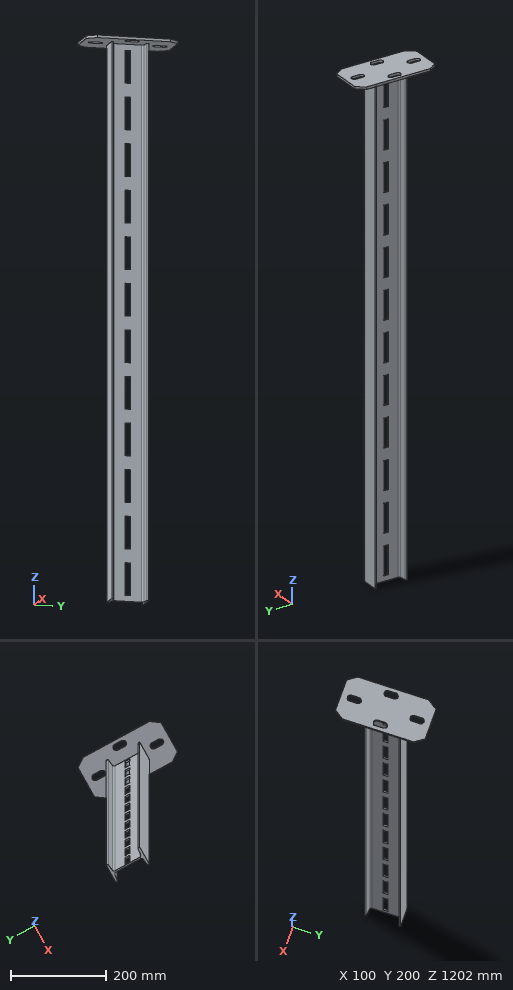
import cadquery as cq

total_height = 1202.0

plate_width = 100.0
plate_length = 200.0
plate_thickness = 6.0
corner_cut_x = 15.0
corner_cut_y = 20.0

plate_slot_width = 13.0
plate_slot_length = 30.0
side_slot_offset = 35.0
end_slot_offset = 70.0

beam_depth = 80.0
flange_width = 42.0
web_thickness = 3.8
flange_thickness = 5.9
flange_slope = 0.14
root_radius = 3.8
tip_radius = 2.3

web_slot_count = 12
web_slot_width = 11.1
web_slot_length = 70.0
first_slot_height = 48.0
slot_row_span = 1100.0

post_height = total_height - plate_thickness
web_slot_pitch = slot_row_span / (web_slot_count - 1)


def make_head_plate():
    """Plate with cut corners, one slot near the middle of each side."""
    half_x = plate_width / 2
    half_y = plate_length / 2
    inner_x = half_x - corner_cut_x
    inner_y = half_y - corner_cut_y
    outline = [
        (inner_x, half_y), (half_x, inner_y), (half_x, -inner_y), (inner_x, -half_y),
        (-inner_x, -half_y), (-half_x, -inner_y), (-half_x, inner_y), (-inner_x, half_y),
    ]
    plate = cq.Workplane("XY", origin=(0, 0, post_height)).polyline(outline).close().extrude(plate_thickness)
    slot_centres = [
        (-side_slot_offset, 0), (side_slot_offset, 0),
        (0, -end_slot_offset), (0, end_slot_offset),
    ]
    slots = (
        cq.Workplane("XY", origin=(0, 0, post_height))
        .pushPoints(slot_centres)
        .slot2D(plate_slot_length, plate_slot_width, 90)
        .extrude(plate_thickness)
    )
    return plate.cut(slots)


def make_beam():
    """I-beam along Z: web in the YZ plane, flanges at +Y and -Y, thinner towards their tips."""
    half_x = flange_width / 2
    half_y = beam_depth / 2
    half_web = web_thickness / 2
    tip_y = half_y - (flange_thickness - flange_slope * half_x / 2)
    root_y = half_y - (flange_thickness + flange_slope * (half_x / 2 - half_web))
    outline = [
        (half_x, half_y), (half_x, tip_y), (half_web, root_y),
        (half_web, -root_y), (half_x, -tip_y), (half_x, -half_y),
        (-half_x, -half_y), (-half_x, -tip_y), (-half_web, -root_y),
        (-half_web, root_y), (-half_x, tip_y), (-half_x, half_y),
    ]
    roots = [(x, y, post_height / 2) for x in (-half_web, half_web) for y in (-root_y, root_y)]
    tips = [(x, y, post_height / 2) for x in (-half_x, half_x) for y in (-tip_y, tip_y)]
    beam = cq.Workplane("XY").polyline(outline).close().extrude(post_height)
    beam = round_edges_at(beam, roots, root_radius)
    return round_edges_at(beam, tips, tip_radius)


def round_edges_at(body, points, radius):
    """Fillet the edge along Z nearest to each point."""
    edges = body.edges("|Z")
    chosen = [edges.edges(cq.selectors.NearestToPointSelector(point)).val() for point in points]
    return body.newObject(chosen).fillet(radius)


def make_post():
    """I-beam with an evenly spaced row of square-ended slots through its web."""
    slot_centres = [(0, first_slot_height + i * web_slot_pitch) for i in range(web_slot_count)]
    slots = (
        cq.Workplane("YZ")
        .pushPoints(slot_centres)
        .rect(web_slot_width, web_slot_length)
        .extrude(web_thickness, both=True)
    )
    return make_beam().cut(slots)


post = make_post()
head_plate = make_head_plate()

result = cq.Compound.makeCompound([post.val(), head_plate.val()])